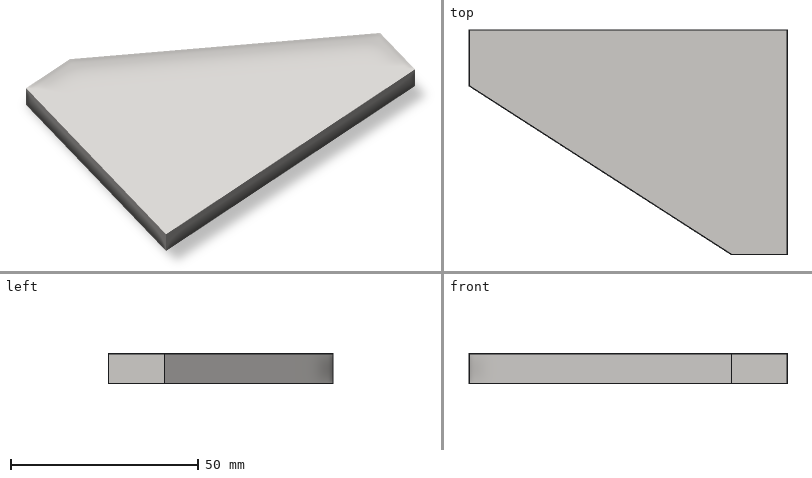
import cadquery as cq

length = 85.0
width = 60.0
thickness = 8.0
end_land = 15.0

outline = [
    (0, width),
    (0, width - end_land),
    (length - end_land, 0),
    (length, 0),
    (length, width),
]

result = cq.Workplane("XY").polyline(outline).close().extrude(thickness)